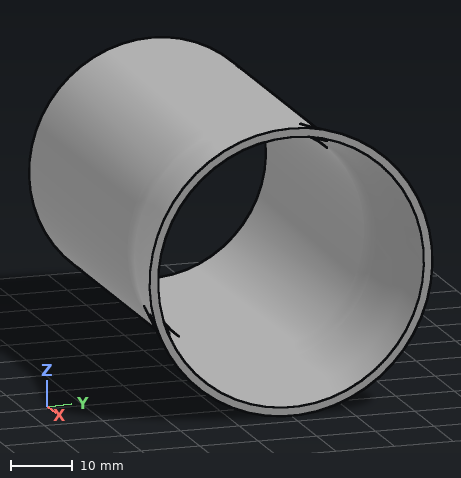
import cadquery as cq
import math

length = 73.0
tube_diameter = 41.9
wall = 1.45
mouth_diameter = 48.3
straight_length = 51.7
flare_angle = math.radians(9.6)

tube_radius = tube_diameter / 2
mouth_radius = mouth_diameter / 2

corner_x = length - (mouth_radius - tube_radius) / math.tan(flare_angle)
bend_radius = (corner_x - straight_length) / math.tan(flare_angle / 2)


def flared_solid(offset):
    """Solid of revolution bounded by the outer surface moved inward by offset."""
    arc_radius = bend_radius + offset
    arc_centre_height = tube_radius + bend_radius

    def bend_point(angle):
        return (
            straight_length + arc_radius * math.sin(angle),
            arc_centre_height - arc_radius * math.cos(angle),
        )

    return (
        cq.Workplane("XZ")
        .lineTo(0, tube_radius - offset)
        .lineTo(straight_length, tube_radius - offset)
        .threePointArc(bend_point(flare_angle / 2), bend_point(flare_angle))
        .lineTo(length, mouth_radius - offset / math.cos(flare_angle))
        .lineTo(length, 0)
        .close()
        .revolve(360, (0, 0, 0), (1, 0, 0))
    )


result = flared_solid(0).cut(flared_solid(wall))